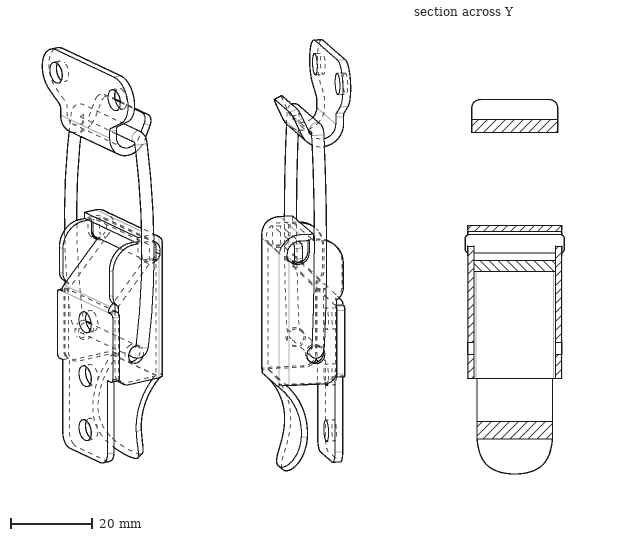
import cadquery as cq
import math


PLATE_THICKNESS = 2.0
SIN_45 = math.sin(math.radians(45))

KEEPER_TOP_Z = 104.8
KEEPER_WIDTH = 37.0
EAR_RADIUS = 6.0
EAR_HOLE_DIAMETER = 5.2
EAR_TAPER_ANGLE = 30.0
NECK_WIDTH = 21.2
NECK_FILLET = 1.3
HOOK_OUTER_RADIUS = 5.6
HOOK_LOW_Z = 82.8
HOOK_LEAN_ANGLE = 25.0
HOOK_ARM_LENGTH = 5.9
HOOK_CORNER_RADIUS = 2.2

WIRE_DIAMETER = 3.0
WIRE_Y = 7.2
WIRE_TOP_Z = 87.7
WIRE_BOTTOM_Z = 31.5
WIRE_BULGE_X = 16.7
WIRE_BULGE_Z = 58.9
LEG_ARC_RADIUS = 128.9
TOP_BEND_RADIUS = 1.7
BOTTOM_BEND_RADIUS = 3.1

LEVER_WIDTH = 23.2
LEVER_THICKNESS = 1.6
LEVER_BACK_Y = 16.0
LEVER_BOTTOM_Z = 23.5
LEVER_TOP_Z = 61.2
LEVER_EDGE_RADIUS = 2.0
LEVER_TOP_RADIUS = 4.8
FLANGE_FRONT_Y = 7.9
CHEEK_FRONT_Y = 0.3
CHEEK_TOP_RADIUS = 6.0
CHEEK_STEP_RADIUS = 3.1
CHEEK_STEP_Z = 47.3
CHEEK_BOTTOM_RADIUS = 3.0
WIRE_HOLE_DIAMETER = 4.5
WIRE_HOLE_Z = 30.9
PIVOT_NOTCH_WIDTH = 5.8
HANDLE_WIDTH = 18.7
HANDLE_RADIUS = 16.6
HANDLE_CENTER_Y = 25.4
HANDLE_CENTER_Z = 10.9
HANDLE_ROUND_ANGLE = 3.5

BASE_WIDTH = 23.9
BASE_TOP_Z = 42.8
BASE_STEP_Z = 24.9
BASE_BOTTOM_Z = 2.7
BASE_TAIL_WIDTH = 19.3
BASE_TAIL_RADIUS = 3.1
BASE_CORNER_RADIUS = 0.9
BASE_HOLE_DIAMETER = 5.2
BASE_HOLE_TOP_Z = 37.4
BASE_HOLE_PITCH = 14.0
BASE_HOLE_COUNT = 3
TONGUE_FRONT_Y = 10.8
TONGUE_TOP_Z = 58.9
TAB_SPAN = 24.4
TAB_CORNER_RADIUS = 0.9

CHEEK_INNER_WIDTH = LEVER_WIDTH - 2 * LEVER_THICKNESS
BEND_SHIFT = PLATE_THICKNESS * SIN_45
RAMP_RISE = TONGUE_FRONT_Y - PLATE_THICKNESS + BEND_SHIFT
TONGUE_BOTTOM_Z = BASE_TOP_Z + BEND_SHIFT + RAMP_RISE


def side_profile(width):
    """Workplane for a (Y, Z) profile that is then extruded by `width`, centred on X = 0."""
    return cq.Workplane("YZ", origin=(-width / 2, 0, 0))


def front_profile(front_y=0.0):
    """Workplane for an (X, Z) outline; a negative extrusion length runs toward +Y."""
    return cq.Workplane("XZ", origin=(0, front_y, 0))


def make_keeper():
    """Mounting plate with two ears, bent into a hook that holds the wire."""
    ear_x = KEEPER_WIDTH / 2 - EAR_RADIUS
    ear_z = KEEPER_TOP_Z - EAR_RADIUS
    taper = math.radians(EAR_TAPER_ANGLE)
    tangent_x = ear_x + EAR_RADIUS * math.sin(taper)
    tangent_z = ear_z - EAR_RADIUS * math.cos(taper)
    neck_x = NECK_WIDTH / 2
    neck_z = tangent_z - (tangent_x - neck_x) * math.tan(taper)
    bend_z = HOOK_LOW_Z + HOOK_OUTER_RADIUS

    plate = (
        front_profile()
        .moveTo(-ear_x, KEEPER_TOP_Z)
        .lineTo(ear_x, KEEPER_TOP_Z)
        .threePointArc((ear_x + EAR_RADIUS, ear_z), (tangent_x, tangent_z))
        .lineTo(neck_x, neck_z)
        .lineTo(neck_x, bend_z)
        .lineTo(-neck_x, bend_z)
        .lineTo(-neck_x, neck_z)
        .lineTo(-tangent_x, tangent_z)
        .threePointArc((-ear_x - EAR_RADIUS, ear_z), (-ear_x, KEEPER_TOP_Z))
        .close()
        .extrude(-PLATE_THICKNESS)
    )
    neck_corners = cq.selectors.BoxSelector(
        (-neck_x - 0.1, -1, neck_z - 0.1), (neck_x + 0.1, PLATE_THICKNESS + 1, neck_z + 0.1)
    )
    plate = plate.edges("|Y").edges(neck_corners).fillet(NECK_FILLET)
    ear_holes = (
        front_profile()
        .pushPoints([(-ear_x, ear_z), (ear_x, ear_z)])
        .circle(EAR_HOLE_DIAMETER / 2)
        .extrude(-PLATE_THICKNESS)
    )

    lean = math.radians(HOOK_LEAN_ANGLE)
    inner_radius = HOOK_OUTER_RADIUS - PLATE_THICKNESS

    def on_bend(radius, angle):
        return (HOOK_OUTER_RADIUS + radius * math.cos(angle), bend_z + radius * math.sin(angle))

    def on_arm_end(radius):
        y, z = on_bend(radius, -lean)
        return (y + HOOK_ARM_LENGTH * math.sin(lean), z + HOOK_ARM_LENGTH * math.cos(lean))

    hook = (
        side_profile(NECK_WIDTH)
        .moveTo(0, bend_z)
        .threePointArc(on_bend(HOOK_OUTER_RADIUS, -math.pi / 2), on_bend(HOOK_OUTER_RADIUS, -lean))
        .lineTo(*on_arm_end(HOOK_OUTER_RADIUS))
        .lineTo(*on_arm_end(inner_radius))
        .lineTo(*on_bend(inner_radius, -lean))
        .threePointArc(on_bend(inner_radius, -math.pi / 2), (PLATE_THICKNESS, bend_z))
        .close()
        .extrude(NECK_WIDTH)
    )
    arm_normal = cq.Vector(0, math.cos(lean), -math.sin(lean))
    arm_corners = hook.edges(cq.selectors.ParallelDirSelector(arm_normal))
    hook = arm_corners.fillet(HOOK_CORNER_RADIUS)
    return plate.cut(ear_holes).union(hook)


def make_wire():
    """Closed bail: a bar in the keeper, a bar through the lever cheeks and two bowed legs."""
    leg_center_x = WIRE_BULGE_X - LEG_ARC_RADIUS

    def bend_points(bar_z, radius):
        """Bar end, middle and leg end of a bend tangent to the bar and to the right leg."""
        outward = math.copysign(1, bar_z - WIRE_BULGE_Z)
        center_z = bar_z - outward * radius
        reach = LEG_ARC_RADIUS - radius
        angle = math.asin((center_z - WIRE_BULGE_Z) / reach)
        center_x = leg_center_x + reach * math.cos(angle)
        middle_angle = (angle + outward * math.pi / 2) / 2
        return [
            (center_x + radius * math.cos(a), center_z + radius * math.sin(a))
            for a in (outward * math.pi / 2, middle_angle, angle)
        ]

    def mirrored(point):
        return (-point[0], point[1])

    top_bar, top_middle, top_leg = bend_points(WIRE_TOP_Z, TOP_BEND_RADIUS)
    low_bar, low_middle, low_leg = bend_points(WIRE_BOTTOM_Z, BOTTOM_BEND_RADIUS)
    path = (
        front_profile(WIRE_Y)
        .moveTo(0, WIRE_BOTTOM_Z)
        .lineTo(*mirrored(low_bar))
        .threePointArc(mirrored(low_middle), mirrored(low_leg))
        .threePointArc((-WIRE_BULGE_X, WIRE_BULGE_Z), mirrored(top_leg))
        .threePointArc(mirrored(top_middle), mirrored(top_bar))
        .lineTo(*top_bar)
        .threePointArc(top_middle, top_leg)
        .threePointArc((WIRE_BULGE_X, WIRE_BULGE_Z), low_leg)
        .threePointArc(low_middle, low_bar)
        .close()
    )
    section = cq.Workplane("YZ", origin=(0, WIRE_Y, WIRE_BOTTOM_Z)).circle(WIRE_DIAMETER / 2)
    return section.sweep(path)


def lever_channel(width, back_y, edge_radius):
    """Upright block with its two back edges rounded."""
    height = LEVER_TOP_Z - LEVER_BOTTOM_Z
    block = cq.Workplane("XY", origin=(0, 0, LEVER_BOTTOM_Z)).rect(width, 2 * back_y).extrude(height)
    return block.edges("|Z and >Y").fillet(edge_radius)


def lever_outline():
    """Side outline of the cheeks, rounded at the top back, extruded over the lever width."""
    step_center_y = CHEEK_FRONT_Y + CHEEK_STEP_RADIUS
    step_run = step_center_y - PLATE_THICKNESS
    step_end_z = CHEEK_STEP_Z - math.sqrt(CHEEK_STEP_RADIUS**2 - step_run**2)
    step_middle = math.radians(20)
    cheek_top_z = LEVER_TOP_Z - LEVER_THICKNESS
    return (
        side_profile(LEVER_WIDTH)
        .moveTo(PLATE_THICKNESS + CHEEK_BOTTOM_RADIUS, LEVER_BOTTOM_Z)
        .lineTo(LEVER_BACK_Y, LEVER_BOTTOM_Z)
        .lineTo(LEVER_BACK_Y, LEVER_TOP_Z - LEVER_TOP_RADIUS)
        .radiusArc((LEVER_BACK_Y - LEVER_TOP_RADIUS, LEVER_TOP_Z), -LEVER_TOP_RADIUS)
        .lineTo(FLANGE_FRONT_Y, LEVER_TOP_Z)
        .lineTo(FLANGE_FRONT_Y, cheek_top_z)
        .lineTo(CHEEK_FRONT_Y + CHEEK_TOP_RADIUS, cheek_top_z)
        .radiusArc((CHEEK_FRONT_Y, cheek_top_z - CHEEK_TOP_RADIUS), -CHEEK_TOP_RADIUS)
        .lineTo(CHEEK_FRONT_Y, CHEEK_STEP_Z)
        .threePointArc(
            (
                step_center_y - CHEEK_STEP_RADIUS * math.cos(step_middle),
                CHEEK_STEP_Z - CHEEK_STEP_RADIUS * math.sin(step_middle),
            ),
            (PLATE_THICKNESS, step_end_z),
        )
        .lineTo(PLATE_THICKNESS, LEVER_BOTTOM_Z + CHEEK_BOTTOM_RADIUS)
        .radiusArc((PLATE_THICKNESS + CHEEK_BOTTOM_RADIUS, LEVER_BOTTOM_Z), -CHEEK_BOTTOM_RADIUS)
        .close()
        .extrude(LEVER_WIDTH)
    )


def make_handle():
    """Curved finger grip below the lever's back wall, with a round tip."""
    half_width = HANDLE_WIDTH / 2
    curved_sheet = (
        side_profile(HANDLE_WIDTH)
        .center(HANDLE_CENTER_Y, HANDLE_CENTER_Z)
        .circle(HANDLE_RADIUS)
        .circle(HANDLE_RADIUS - LEVER_THICKNESS)
        .extrude(HANDLE_WIDTH)
    )
    round_slope = math.tan(math.radians(HANDLE_ROUND_ANGLE))
    tip_slope = math.tan(math.asin(HANDLE_CENTER_Z / HANDLE_RADIUS))

    def add_outline(loft, distance):
        """Add the tongue outline at a distance from the curl axis, along rays from that axis."""
        round_z = HANDLE_CENTER_Z - distance * round_slope
        round_height = distance * (tip_slope - round_slope)
        return (
            loft.moveTo(half_width, round_z)
            .lineTo(half_width, LEVER_BOTTOM_Z)
            .lineTo(-half_width, LEVER_BOTTOM_Z)
            .lineTo(-half_width, round_z)
            .ellipseArc(half_width, round_height, 180, 360, startAtCurrent=True)
            .close()
        )

    near = HANDLE_CENTER_Y - LEVER_BACK_Y
    far = HANDLE_CENTER_Y
    tongue = add_outline(front_profile(HANDLE_CENTER_Y - near), near)
    tongue = add_outline(tongue.workplane(offset=far - near), far).loft(ruled=True)
    return curved_sheet.intersect(tongue)


def hollow_profile():
    """Side profile of the space enclosed by the back wall and the flange, over the lever width."""
    back_y = LEVER_BACK_Y - LEVER_THICKNESS
    top_z = LEVER_TOP_Z - LEVER_THICKNESS
    corner_radius = LEVER_TOP_RADIUS - LEVER_THICKNESS
    return (
        side_profile(LEVER_WIDTH)
        .moveTo(0, LEVER_BOTTOM_Z)
        .lineTo(back_y, LEVER_BOTTOM_Z)
        .lineTo(back_y, top_z - corner_radius)
        .radiusArc((back_y - corner_radius, top_z), -corner_radius)
        .lineTo(0, top_z)
        .close()
        .extrude(LEVER_WIDTH)
    )


def make_lever():
    """Channel-shaped lever: back wall, top flange, two cheeks and the handle."""
    outer = lever_channel(LEVER_WIDTH, LEVER_BACK_Y, LEVER_EDGE_RADIUS).intersect(lever_outline())
    enclosed = hollow_profile()
    hollow = lever_channel(
        CHEEK_INNER_WIDTH,
        LEVER_BACK_Y - LEVER_THICKNESS,
        LEVER_EDGE_RADIUS - LEVER_THICKNESS,
    ).intersect(enclosed)

    notch_y = TONGUE_FRONT_Y + PLATE_THICKNESS / 2
    notch_z = (TONGUE_BOTTOM_Z + TONGUE_TOP_Z) / 2
    notch_radius = PIVOT_NOTCH_WIDTH / 2
    pivot_notch = (
        side_profile(LEVER_WIDTH)
        .moveTo(notch_y - notch_radius, LEVER_TOP_Z)
        .lineTo(notch_y - notch_radius, notch_z)
        .threePointArc((notch_y, notch_z - notch_radius), (notch_y + notch_radius, notch_z))
        .lineTo(notch_y + notch_radius, LEVER_TOP_Z)
        .close()
        .extrude(LEVER_WIDTH)
        .intersect(enclosed)
    )
    wire_hole = (
        side_profile(LEVER_WIDTH)
        .center(WIRE_Y, WIRE_HOLE_Z)
        .circle(WIRE_HOLE_DIAMETER / 2)
        .extrude(LEVER_WIDTH)
    )
    return outer.cut(hollow).cut(pivot_notch).cut(wire_hole).union(make_handle())


def make_base():
    """Mounting plate bent back into a ramp and a tongue whose tabs pivot in the lever."""
    head = (
        front_profile()
        .center(0, (BASE_TOP_Z + BASE_STEP_Z) / 2)
        .rect(BASE_WIDTH, BASE_TOP_Z - BASE_STEP_Z)
        .extrude(-PLATE_THICKNESS)
        .edges("|Y")
        .fillet(BASE_CORNER_RADIUS)
    )
    tail = (
        front_profile()
        .center(0, (BASE_TOP_Z + BASE_BOTTOM_Z) / 2)
        .rect(BASE_TAIL_WIDTH, BASE_TOP_Z - BASE_BOTTOM_Z)
        .extrude(-PLATE_THICKNESS)
        .edges("|Y and <Z")
        .fillet(BASE_TAIL_RADIUS)
    )
    hole_points = [(0, BASE_HOLE_TOP_Z - i * BASE_HOLE_PITCH) for i in range(BASE_HOLE_COUNT)]
    holes = (
        front_profile()
        .pushPoints(hole_points)
        .circle(BASE_HOLE_DIAMETER / 2)
        .extrude(-PLATE_THICKNESS)
    )

    lower_bend = (
        side_profile(CHEEK_INNER_WIDTH)
        .moveTo(PLATE_THICKNESS, BASE_TOP_Z)
        .lineTo(0, BASE_TOP_Z)
        .radiusArc((PLATE_THICKNESS - BEND_SHIFT, BASE_TOP_Z + BEND_SHIFT), PLATE_THICKNESS)
        .close()
        .extrude(CHEEK_INNER_WIDTH)
    )
    ramp = (
        side_profile(CHEEK_INNER_WIDTH)
        .moveTo(PLATE_THICKNESS, BASE_TOP_Z)
        .lineTo(PLATE_THICKNESS - BEND_SHIFT, BASE_TOP_Z + BEND_SHIFT)
        .lineTo(TONGUE_FRONT_Y, TONGUE_BOTTOM_Z)
        .lineTo(TONGUE_FRONT_Y + PLATE_THICKNESS, TONGUE_BOTTOM_Z)
        .radiusArc((TONGUE_FRONT_Y + BEND_SHIFT, TONGUE_BOTTOM_Z - BEND_SHIFT), PLATE_THICKNESS)
        .close()
        .extrude(CHEEK_INNER_WIDTH)
    )
    tongue = (
        front_profile(TONGUE_FRONT_Y)
        .center(0, (TONGUE_BOTTOM_Z + TONGUE_TOP_Z) / 2)
        .rect(TAB_SPAN, TONGUE_TOP_Z - TONGUE_BOTTOM_Z)
        .extrude(-PLATE_THICKNESS)
        .edges("|Y")
        .fillet(TAB_CORNER_RADIUS)
    )
    return head.union(tail).cut(holes).union(lower_bend).union(ramp).union(tongue)


keeper = make_keeper()
wire = make_wire()
lever = make_lever()
base = make_base()

result = cq.Compound.makeCompound([keeper.val(), wire.val(), lever.val(), base.val()])